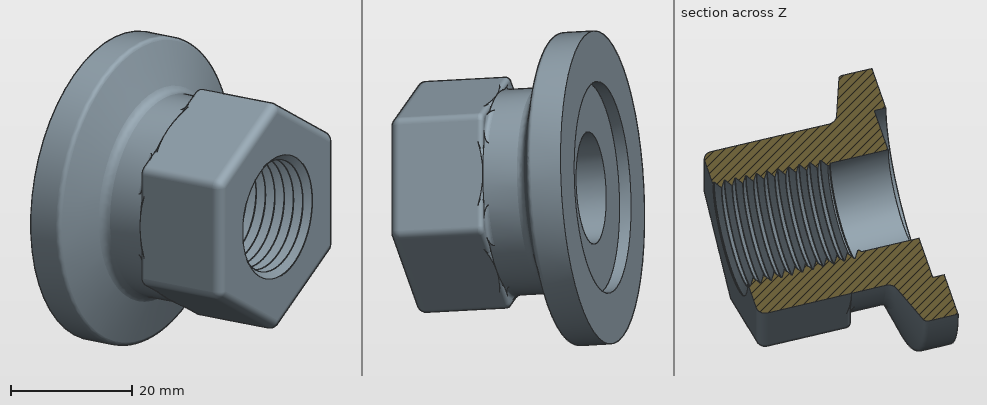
import cadquery as cq
import math


flange_diameter = 51.8
total_length = 31.75

rim_length = 5.7
rim_round = 0.85
cone_angle = 19.0
recess_diameter = 35.05
recess_depth = 1.95

neck_diameter = 34.05
neck_round = 1.6

hex_start = 15.8
hex_across_flats = neck_diameter
hex_corner_round = 1.55
hex_end_round = 1.55
hex_start_round = 0.85
hex_root_round = 0.8

bore_diameter = 18.55
bore_end = 11.9
first_crest_land = 0.2
thread_pitch = 1.8
thread_height = 1.4
thread_start_diameter = 17.7
thread_half_angle = 30.0
thread_taper = 1 / 16

rim_radius = flange_diameter / 2
neck_radius = neck_diameter / 2
bore_radius = bore_diameter / 2
hex_length = total_length - hex_start
cone_end = rim_length + (rim_radius - neck_radius) * math.tan(math.radians(cone_angle))
neck_end = hex_start + hex_length / 2


def revolve_about_x(profile):
    return profile.close().revolve(360, (0, 0, 0), (1, 0, 0))


def circle_at(x):
    """Selector for the circular edge lying in the plane at this X."""
    reach = flange_diameter
    margin = 0.05
    return cq.selectors.BoxSelector(
        (x - margin, -reach, -reach), (x + margin, reach, reach), boundingbox=True)


def make_flange_and_neck():
    profile = cq.Workplane("XY").polyline([
        (0, 0),
        (0, rim_radius),
        (rim_length, rim_radius),
        (cone_end, neck_radius),
        (neck_end, neck_radius),
        (neck_end, 0),
    ])
    body = revolve_about_x(profile)
    body = body.edges(circle_at(rim_length)).fillet(rim_round)
    return body.edges(circle_at(cone_end)).fillet(neck_round)


def hex_prism(start, length, across_flats, corner_round):
    """Hexagonal bar along X with flats facing +Y and -Y."""
    across_corners = across_flats / math.cos(math.radians(30))
    return (
        cq.Workplane("YZ")
        .polygon(6, across_corners)
        .extrude(length)
        .rotate((0, 0, 0), (1, 0, 0), 30)
        .translate((start, 0, 0))
        .edges("|X")
        .fillet(corner_round)
    )


def make_hexagon():
    prism = hex_prism(hex_start, hex_length, hex_across_flats, hex_corner_round)
    prism = prism.faces(">X").edges().fillet(hex_end_round)
    return prism.faces("<X").edges().fillet(hex_start_round)


def make_flat_tips():
    """Tips of the flats that run on past the rounded start and die out on the neck."""
    sharp_prism = hex_prism(hex_start, hex_start_round, hex_across_flats, hex_corner_round)
    cone = revolve_about_x(cq.Workplane("XY").polyline([
        (hex_start, 0),
        (hex_start, neck_radius),
        (hex_start + hex_start_round, neck_radius + hex_start_round),
        (hex_start + hex_start_round, 0),
    ]))
    return sharp_prism.intersect(cone)


def make_root_flare():
    """Concave round between the neck and the start face, kept only under the six corners."""
    flare_start = hex_start - hex_root_round
    flare = revolve_about_x(
        cq.Workplane("XY")
        .moveTo(flare_start, 0)
        .lineTo(flare_start, neck_radius)
        .radiusArc((hex_start, neck_radius + hex_root_round), -hex_root_round)
        .lineTo(hex_start, 0)
    )
    start_face_prism = hex_prism(
        flare_start,
        hex_root_round,
        hex_across_flats - 2 * hex_start_round,
        hex_corner_round - hex_start_round,
    )
    return flare.intersect(start_face_prism)


def make_recess():
    return cq.Workplane("YZ").circle(recess_diameter / 2).extrude(recess_depth)


def make_threaded_bore():
    """Plain bore, then crests and grooves widening towards the far end."""
    flank_slope = math.tan(math.radians(thread_half_angle))
    flank_length = thread_height * flank_slope
    flat_width = thread_pitch / 2 - flank_length
    land_start = bore_end + (bore_diameter - thread_start_diameter) / 2 * flank_slope
    thread_start = land_start + first_crest_land

    def crest_radius(x):
        return (thread_start_diameter + (x - thread_start) * thread_taper) / 2

    points = [
        (0, 0),
        (0, bore_radius),
        (bore_end, bore_radius),
        (land_start, thread_start_diameter / 2),
    ]
    crest = thread_start
    while crest < total_length:
        groove = crest + flat_width + flank_length
        points += [
            (crest, crest_radius(crest)),
            (crest + flat_width, crest_radius(crest + flat_width)),
            (groove, crest_radius(groove) + thread_height),
            (groove + flat_width, crest_radius(groove + flat_width) + thread_height),
        ]
        crest += thread_pitch
    points += [(crest, crest_radius(crest)), (crest, 0)]
    return revolve_about_x(cq.Workplane("XY").polyline(points))


result = (
    make_flange_and_neck()
    .union(make_hexagon())
    .union(make_flat_tips())
    .union(make_root_flare())
    .cut(make_recess())
    .cut(make_threaded_bore())
)